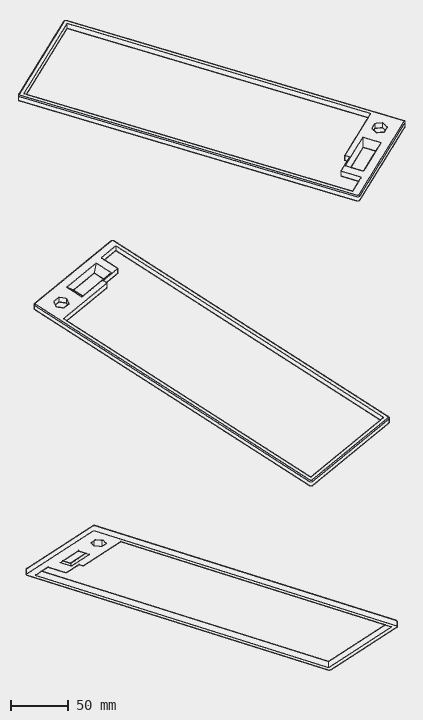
import cadquery as cq
import math

length = 321.0
width = 103.5
height = 6.0
rail = 4.2
right_rail = 7.7
corner_radius = 2.0
rim_bevel = 1.0

panel_width = 31.5
panel_step_y = 42.5
tab_width = 27.0
tab_bottom_y = 23.0

hexagon_flats = 11.5
hexagon_inset = 17.3

window_width = 17.3
window_length = 38.5
window_right_inset = 8.7
window_bottom_y = 30.8
window_side_taper = 3.0
window_end_taper = 5.8


def make_body():
    """Solid plate with rounded corners and a bevelled upper rim."""
    plate = cq.Workplane("XY").box(length, width, height, centered=False)
    return plate.edges("|Z").fillet(corner_radius).faces(">Z").chamfer(rim_bevel)


def make_opening():
    """Main opening, leaving the rails and the stepped panel."""
    return (
        cq.Workplane("XY")
        .moveTo(rail, rail)
        .lineTo(length - right_rail, rail)
        .lineTo(length - right_rail, tab_bottom_y)
        .lineTo(length - tab_width, tab_bottom_y)
        .lineTo(length - tab_width, panel_step_y)
        .lineTo(length - panel_width, panel_step_y)
        .lineTo(length - panel_width, width - rail)
        .lineTo(rail, width - rail)
        .close()
        .extrude(height)
    )


def make_hexagon():
    """Through hole with two flats parallel to Y."""
    across_corners = hexagon_flats / math.cos(math.pi / 6)
    return (
        cq.Workplane("XY")
        .center(length - hexagon_inset, width - hexagon_inset)
        .transformed(rotate=(0, 0, 90))
        .polygon(6, across_corners)
        .extrude(height)
    )


def make_window():
    """Tapered through window, largest at the top face."""
    center_x = length - window_right_inset - window_width / 2
    center_y = window_bottom_y + window_length / 2
    return (
        cq.Workplane("XY")
        .center(center_x, center_y)
        .rect(window_width - 2 * window_side_taper, window_length - 2 * window_end_taper)
        .workplane(offset=height)
        .rect(window_width, window_length)
        .loft(ruled=True)
    )


result = make_body().cut(make_opening()).cut(make_hexagon()).cut(make_window())